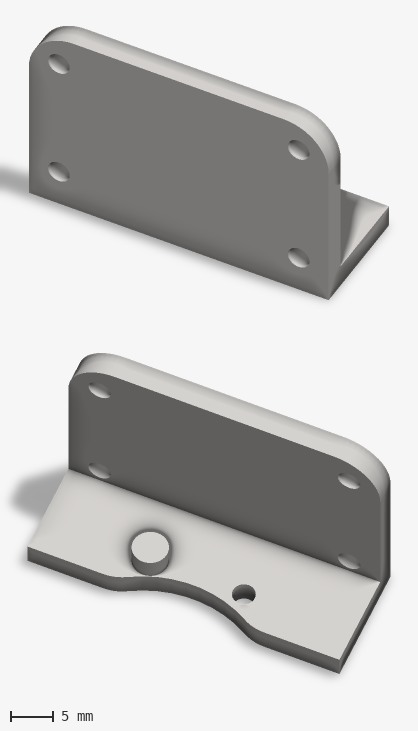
import cadquery as cq
import math

width = 40.0
depth = 15.0
height = 26.0
thickness = 3.0

corner_radius = 6.0
plate_hole_diameter = 2.9
plate_hole_inset = 4.0
lower_hole_height = 5.0

pin_diameter = 4.4
pin_height = 2.7
base_hole_diameter = 2.8
pin_offset = 6.0
pin_back_inset = 4.0

notch_depth = 2.8
notch_radius = 14.8
blend_radius = 5.6


def make_plate():
    """Upright plate with rounded top corners and four mounting holes."""
    plate = (
        cq.Workplane("XY")
        .box(width, thickness, height, centered=(True, False, False))
        .edges("|Y and >Z")
        .fillet(corner_radius)
    )
    hole_x = width / 2 - plate_hole_inset
    hole_heights = (lower_hole_height, height - plate_hole_inset)
    centers = [(x, z) for x in (-hole_x, hole_x) for z in hole_heights]
    holes = (
        cq.Workplane("XZ")
        .pushPoints(centers)
        .circle(plate_hole_diameter / 2)
        .extrude(-thickness)
    )
    return plate.cut(holes)


def make_base():
    """Flange whose back edge dips in a smooth notch, with a pin and a hole."""
    notch_center_y = depth - notch_depth + notch_radius
    blend_center_y = depth - blend_radius
    center_distance = notch_radius + blend_radius
    blend_x = math.sqrt(center_distance**2 - (notch_center_y - blend_center_y) ** 2)
    join_x = blend_x * notch_radius / center_distance
    join_y = notch_center_y - (notch_center_y - blend_center_y) * notch_radius / center_distance
    half_angle = math.asin(blend_x / center_distance) / 2
    mid_x = blend_x - blend_radius * math.sin(half_angle)
    mid_y = blend_center_y + blend_radius * math.cos(half_angle)

    base = (
        cq.Workplane("XY")
        .moveTo(-width / 2, 0)
        .lineTo(width / 2, 0)
        .lineTo(width / 2, depth)
        .lineTo(blend_x, depth)
        .threePointArc((mid_x, mid_y), (join_x, join_y))
        .threePointArc((0, depth - notch_depth), (-join_x, join_y))
        .threePointArc((-mid_x, mid_y), (-blend_x, depth))
        .lineTo(-width / 2, depth)
        .close()
        .extrude(thickness)
    )
    feature_y = depth - pin_back_inset
    pin = (
        cq.Workplane("XY", origin=(0, 0, thickness))
        .center(pin_offset, feature_y)
        .circle(pin_diameter / 2)
        .extrude(pin_height)
    )
    hole = (
        cq.Workplane("XY")
        .center(-pin_offset, feature_y)
        .circle(base_hole_diameter / 2)
        .extrude(thickness)
    )
    return base.union(pin).cut(hole)


result = make_plate().union(make_base())